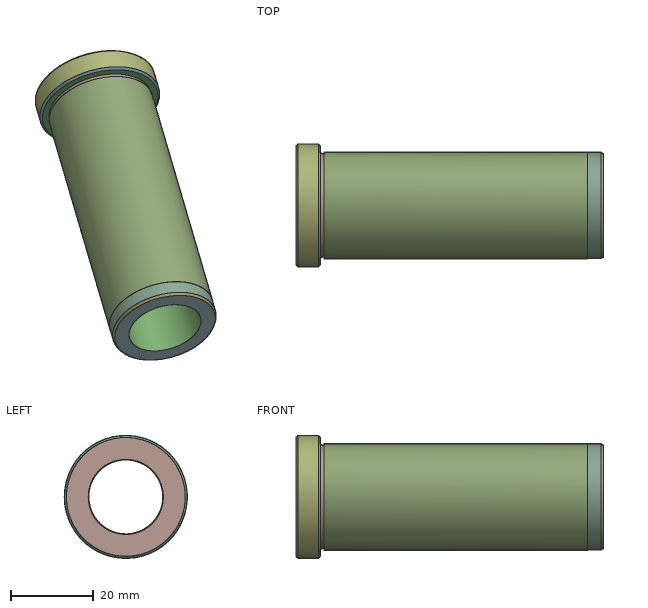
import cadquery as cq

length = 75.0
head_diameter = 30.0
head_length = 6.0
head_chamfer = 0.5
body_diameter = 26.0
bore_diameter = 18.0

undercut_width = 0.9
undercut_depth = 0.45
undercut_rise = 0.3

lead_diameter = 25.95
lead_length = 4.0
tip_length = 0.7
tip_depth = 0.4

mouth_chamfer = 0.15

head_radius = head_diameter / 2
body_radius = body_diameter / 2
bore_radius = bore_diameter / 2
lead_radius = lead_diameter / 2
undercut_radius = body_radius - undercut_depth
undercut_arc_radius = (undercut_width**2 + undercut_rise**2) / (2 * undercut_rise)
undercut_end = head_length + undercut_width
lead_start = length - lead_length

half_section = (
    cq.Workplane("XY")
    .moveTo(0, bore_radius + mouth_chamfer)
    .lineTo(0, head_radius - head_chamfer)
    .lineTo(head_chamfer, head_radius)
    .lineTo(head_length - head_chamfer, head_radius)
    .lineTo(head_length, head_radius - head_chamfer)
    .lineTo(head_length, undercut_radius + undercut_rise)
    .radiusArc((undercut_end, undercut_radius), -undercut_arc_radius)
    .lineTo(undercut_end, body_radius)
    .lineTo(lead_start, body_radius)
    .lineTo(lead_start, lead_radius)
    .lineTo(length - tip_length, lead_radius)
    .lineTo(length, lead_radius - tip_depth)
    .lineTo(length, bore_radius)
    .lineTo(mouth_chamfer, bore_radius)
    .close()
)

result = half_section.revolve(360, (0, 0, 0), (1, 0, 0))